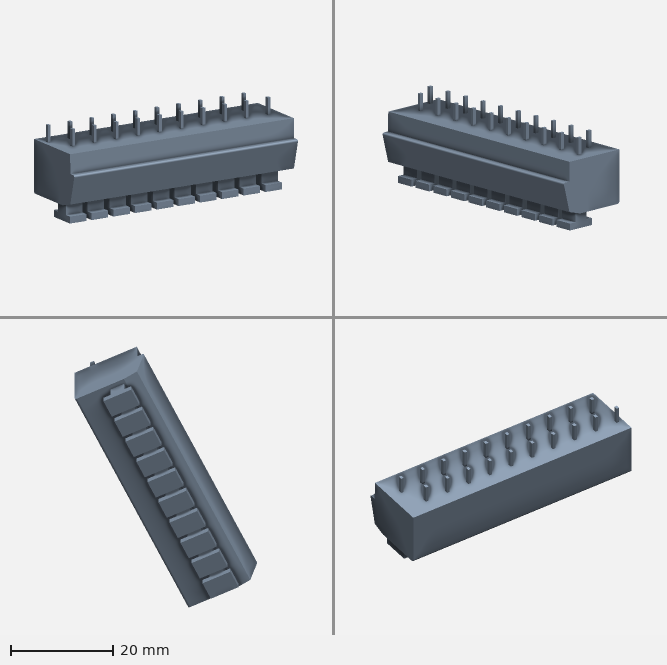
import cadquery as cq

housing_length = 51.5
housing_bottom = 3.6
housing_height = 11.0
housing_top = housing_bottom + housing_height
front_wall_top_x = 13.45
front_wall_base_x = 13.56
knee_x = 13.5
lip_tip_x = 15.1
lip_top = 10.6
knee_z = 4.4
bottom_flat_end_x = 10.65
back_edge_radius = 0.5
lip_radius = 0.35

pole_count = 10
pole_pitch = 5.0
pin_size_x = 0.8
pin_size_y = 0.6
pin_height = 3.5
back_row_x = 3.3
row_spacing = 5.0
back_row_start_y = 1.25
row_stagger = pole_pitch / 2

button_width = 3.8
button_start_y = 2.9
button_center_x = 8.75
stem_width = 3.0
foot_width = 6.0
foot_height = 1.4


def make_housing():
    profile = (
        cq.Workplane("XZ")
        .moveTo(0, housing_bottom)
        .lineTo(bottom_flat_end_x, housing_bottom)
        .lineTo(knee_x, knee_z)
        .lineTo(lip_tip_x, lip_top)
        .lineTo(front_wall_base_x, lip_top)
        .lineTo(front_wall_top_x, housing_top)
        .lineTo(0, housing_top)
        .close()
    )
    body = profile.extrude(-housing_length)
    body = body.edges("|Y and <X and <Z").fillet(back_edge_radius)
    return body.edges("|Y and >X").fillet(lip_radius)


def box_on(size_x, size_y, height, center_x, center_y, base_z):
    """Box centred on (center_x, center_y), standing on base_z."""
    return (
        cq.Workplane("XY")
        .box(size_x, size_y, height, centered=(True, True, False))
        .translate((center_x, center_y, base_z))
    )


def make_pin(center_x, center_y):
    return box_on(pin_size_x, pin_size_y, pin_height, center_x, center_y, housing_top)


def make_button(center_y):
    foot = box_on(foot_width, button_width, foot_height, button_center_x, center_y, 0)
    stem = box_on(stem_width, button_width, housing_bottom, button_center_x, center_y, 0)
    return foot.union(stem)


result = make_housing()
for pole in range(pole_count):
    pole_offset = pole * pole_pitch
    back_pin_y = back_row_start_y + pole_offset
    result = result.union(make_pin(back_row_x, back_pin_y))
    result = result.union(make_pin(back_row_x + row_spacing, back_pin_y + row_stagger))
    result = result.union(make_button(button_start_y + pole_offset))